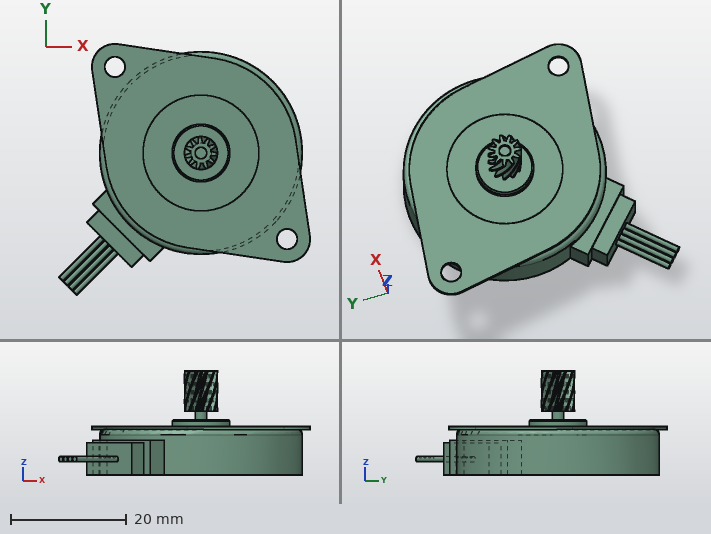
import cadquery as cq
import math

HOUSING_HEIGHT = 7.9
PLATE_BOTTOM = 7.8
PLATE_THICKNESS = 0.6
BOSS_TOP = 9.6
GEAR_HEIGHT = 7.0
TOTAL_HEIGHT = 18.0
PLATE_TOP = PLATE_BOTTOM + PLATE_THICKNESS
GEAR_BOTTOM = TOTAL_HEIGHT - GEAR_HEIGHT

HOUSING_DIAMETER = 35.0
HOUSING_ROUNDING = 0.9

PLATE_RADIUS = 16.5
EAR_RADIUS = 4.0
EAR_DISTANCE = 21.0
EAR_ANGLE = 135
EAR_HOLE_DIAMETER = 3.47
RECESS_DIAMETER = 20.0
RECESS_DEPTH = 0.1

BOSS_DIAMETER = 10.0
BOSS_CHAMFER = 0.3
SHAFT_DIAMETER = 2.0
SHAFT_SETBACK = 0.5

CONNECTOR_ANGLE = 225
BASE_WIDTH = 14.0
BASE_REACH = 19.45
BASE_HEIGHT = 6.05
PLUG_WIDTH = 11.0
PLUG_REACH = 22.4
PLUG_HEIGHT = 5.6
WIRE_DIAMETER = 1.0
WIRE_COUNT = 4
WIRE_PITCH = 1.15
WIRE_REACH = 32.5
WIRE_LEVEL = 2.78

TOOTH_COUNT = 11
GEAR_TIP_RADIUS = 2.85
GEAR_ROOT_RADIUS = 1.8
TOOTH_TIP_WIDTH = 0.3
TOOTH_MIDDLE_WIDTH = 0.6
TOOTH_ROOT_WIDTH = 0.7
GEAR_TWIST = 2 * 360 / TOOTH_COUNT
TOP_TOOTH_ANGLE = CONNECTOR_ANGLE


def polar(radius, angle):
    """Point at a radius and an angle in degrees."""
    return (radius * math.cos(math.radians(angle)), radius * math.sin(math.radians(angle)))


def cylinder(diameter, bottom, top):
    """Upright cylinder on the motor axis."""
    return cq.Workplane("XY").workplane(offset=bottom).circle(diameter / 2).extrude(top - bottom)


def make_drum():
    drum = cylinder(HOUSING_DIAMETER, 0, HOUSING_HEIGHT)
    return drum.faces(">Z").edges().fillet(HOUSING_ROUNDING)


def make_plate():
    tangent_angle = math.degrees(math.acos((PLATE_RADIUS - EAR_RADIUS) / EAR_DISTANCE))

    def ear_point(x_sign, y_sign):
        x, y = polar(EAR_RADIUS, tangent_angle)
        return (x_sign * (EAR_DISTANCE + x), y_sign * y)

    def disc_point(x_sign, y_sign):
        x, y = polar(PLATE_RADIUS, tangent_angle)
        return (x_sign * x, y_sign * y)

    ear_tip = EAR_DISTANCE + EAR_RADIUS
    plate = (
        cq.Workplane("XY")
        .workplane(offset=PLATE_BOTTOM)
        .moveTo(*disc_point(1, 1))
        .lineTo(*ear_point(1, 1))
        .threePointArc((ear_tip, 0), ear_point(1, -1))
        .lineTo(*disc_point(1, -1))
        .threePointArc((0, -PLATE_RADIUS), disc_point(-1, -1))
        .lineTo(*ear_point(-1, -1))
        .threePointArc((-ear_tip, 0), ear_point(-1, 1))
        .lineTo(*disc_point(-1, 1))
        .threePointArc((0, PLATE_RADIUS), disc_point(1, 1))
        .close()
        .extrude(PLATE_THICKNESS)
    )
    ear_holes = (
        cq.Workplane("XY")
        .workplane(offset=PLATE_BOTTOM)
        .pushPoints([(-EAR_DISTANCE, 0), (EAR_DISTANCE, 0)])
        .circle(EAR_HOLE_DIAMETER / 2)
        .extrude(PLATE_THICKNESS)
    )
    recess = cylinder(RECESS_DIAMETER, PLATE_TOP - RECESS_DEPTH, PLATE_TOP)
    return plate.cut(ear_holes).cut(recess).rotate((0, 0, 0), (0, 0, 1), EAR_ANGLE)


def make_boss():
    boss = cylinder(BOSS_DIAMETER, HOUSING_HEIGHT, BOSS_TOP)
    return boss.faces(">Z").edges().chamfer(BOSS_CHAMFER)


def make_connector():
    def block(width, reach, height):
        return cq.Workplane("XY").box(reach, width, height, centered=(False, True, False))

    first_wire = -WIRE_PITCH * (WIRE_COUNT - 1) / 2
    wires = (
        cq.Workplane("YZ")
        .workplane(offset=BASE_REACH)
        .pushPoints([(first_wire + i * WIRE_PITCH, WIRE_LEVEL) for i in range(WIRE_COUNT)])
        .circle(WIRE_DIAMETER / 2)
        .extrude(WIRE_REACH - BASE_REACH)
    )
    connector = (
        block(BASE_WIDTH, BASE_REACH, BASE_HEIGHT)
        .union(block(PLUG_WIDTH, PLUG_REACH, PLUG_HEIGHT))
        .union(wires)
    )
    return connector.rotate((0, 0, 0), (0, 0, 1), CONNECTOR_ANGLE)


def make_motor():
    shaft = cylinder(SHAFT_DIAMETER, HOUSING_HEIGHT, TOTAL_HEIGHT - SHAFT_SETBACK)
    return make_drum().union(make_plate()).union(make_boss()).union(shaft).union(make_connector())


def half_angle(width, radius):
    """Half of the angle that a tooth of this width spans at a radius, in degrees."""
    return math.degrees(math.asin(width / 2 / radius))


def make_gear():
    tooth_step = 360 / TOOTH_COUNT
    middle_radius = (GEAR_TIP_RADIUS + GEAR_ROOT_RADIUS) / 2
    tip_half_angle = half_angle(TOOTH_TIP_WIDTH, GEAR_TIP_RADIUS)
    middle_half_angle = half_angle(TOOTH_MIDDLE_WIDTH, middle_radius)
    root_half_angle = half_angle(TOOTH_ROOT_WIDTH, GEAR_ROOT_RADIUS)
    first_tooth = TOP_TOOTH_ANGLE - GEAR_TWIST

    outline = (
        cq.Workplane("XY")
        .workplane(offset=GEAR_BOTTOM)
        .moveTo(*polar(GEAR_ROOT_RADIUS, first_tooth - root_half_angle))
    )
    for i in range(TOOTH_COUNT):
        tooth = first_tooth + i * tooth_step
        next_tooth = tooth + tooth_step
        outline = (
            outline.threePointArc(
                polar(middle_radius, tooth - middle_half_angle),
                polar(GEAR_TIP_RADIUS, tooth - tip_half_angle),
            )
            .threePointArc(polar(GEAR_TIP_RADIUS, tooth), polar(GEAR_TIP_RADIUS, tooth + tip_half_angle))
            .threePointArc(
                polar(middle_radius, tooth + middle_half_angle),
                polar(GEAR_ROOT_RADIUS, tooth + root_half_angle),
            )
            .threePointArc(
                polar(GEAR_ROOT_RADIUS, tooth + tooth_step / 2),
                polar(GEAR_ROOT_RADIUS, next_tooth - root_half_angle),
            )
        )
    toothed = outline.close().twistExtrude(GEAR_HEIGHT, GEAR_TWIST)
    return toothed.cut(cylinder(SHAFT_DIAMETER, GEAR_BOTTOM, TOTAL_HEIGHT))


motor = make_motor()
gear = make_gear()

result = cq.Compound.makeCompound([motor.val(), gear.val()])